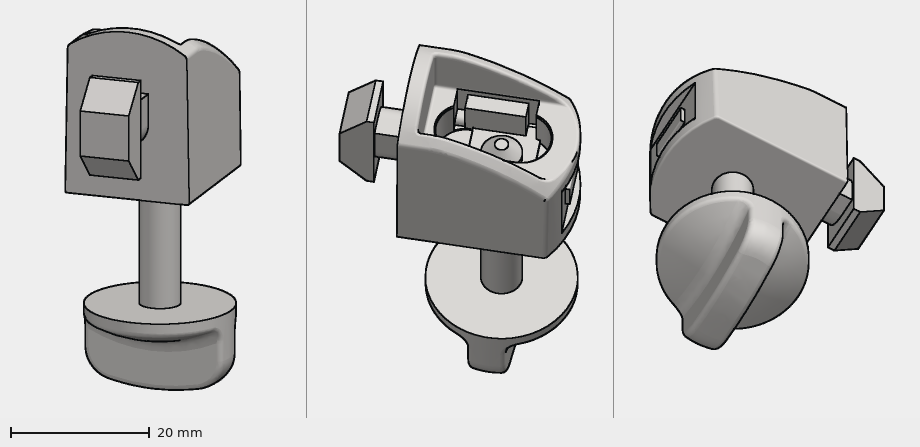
import cadquery as cq
import math


TOLERANCE = 0.05
OVERLAP = 0.55

HALF_WIDTH_BASE = 9.55
SIDE_DRAFT = 1.0
FRONT_Y = -13.65
BACK_Y = 11.3
BOW_RADIUS = 15.9
CROWN_TOP = 25.05
CROWN_FLAT_END = -9.1
SHOULDER_RADIUS = 11.35
SHOULDER_ANGLE = 16.0
SLOPE_RADIUS = 47.75
SLOPE_ANGLE = 27.0
CUTTER_HEIGHT = 17.05
OUTER_FILLET = 0.85
BASE_FILLET = 0.35

FLOOR_Z = 15.75
TRAY_HALF_WIDTH = 6.9
TRAY_FRONT_Y = -11.1
TRAY_CORNER_RADIUS = 0.5
CHEEK_FILLET = 0.5
FLOOR_FILLET = 0.45

SLOT_RADIUS = 4.3
SLOT_BACK_Y = 7.2
SLOT_FRONT_Y = -9.6
SLOT_FLOOR_Z = 9.65
SLOT_CHAMFER = 0.2
CHAMFER_ANGLE = 45.0

RECESS_X = -6.75
RECESS_FRONT_Y = -7.65
RECESS_BACK_Y = 4.3
TAB_EDGE_X = -4.3
TAB_FRONT_Y = -6.15
TAB_BACK_Y = 2.8
TAB_DROP = 0.85
GAP_FLOOR_Z = 9.95
STEP_EDGE_X = -4.6
STEP_HEIGHT = 1.0
STEP_ROUND = 0.95

WINDOW_Y = 9.95
WINDOW_BOTTOM = 2.6
WINDOW_TOP = 12.7
PAD_Y = 10.6
PAD_BOTTOM = 5.8
PAD_TOP = 9.5
PAD_WIDTH = 6.8
PAD_FILLET = 0.2

ANCHOR_Z = 12.05
STEM_WIDTH = 6.55
STEM_HEIGHT = 8.1
STEM_ROUND = 3.5
HEAD_WIDTH = 7.45
HEAD_HEIGHT = 14.65
HEAD_BACK_Y = -18.0
HEAD_TAPER_Y = -19.1
HEAD_TIP_Y = -23.05
HEAD_TIP_HEIGHT = 6.75

NUT_LENGTH = 12.05
NUT_WIDTH = 9.95
NUT_BOTTOM = 6.8
NUT_TOP = 10.2

SHAFT_DIAMETER = 6.0
TIP_DIAMETER = 2.0
TIP_TOP = 13.35
DISC_DIAMETER = 22.0
DISC_TOP = -19.3
DISC_EDGE_Z = -21.25
DOME_Z = -24.25
WING_THICKNESS = 5.55
WING_BOTTOM = -31.75
WING_CORNER_RADIUS = 4.8
WING_BOTTOM_RADIUS = 31.8
WING_TURN = -2.0
WING_ROOT_FILLET = 2.05
GRIP_FILLET = 0.85

shaft_radius = SHAFT_DIAMETER / 2
tip_radius = TIP_DIAMETER / 2
disc_radius = DISC_DIAMETER / 2


def box(x_range, y_range, z_range):
    """Axis-aligned block between pairs of coordinates."""
    size = [high - low for low, high in (x_range, y_range, z_range)]
    return (
        cq.Workplane("XY")
        .box(*size, centered=False)
        .translate((x_range[0], y_range[0], z_range[0]))
    )


def edges_in(solid, keep):
    """The edges of a solid whose bounding boxes pass a test."""
    return solid.newObject([edge for edge in solid.edges().vals() if keep(edge.BoundingBox())])


def bow_drop(half_width):
    """How far a bowed surface falls back at a distance from its middle."""
    return BOW_RADIUS - math.sqrt(BOW_RADIUS**2 - half_width**2)


def housing_blank():
    """Drafted sides, flat mounting face and bowed back wall."""
    half_top = HALF_WIDTH_BASE - CROWN_TOP * math.tan(math.radians(SIDE_DRAFT))
    side_y = BACK_Y - bow_drop(HALF_WIDTH_BASE)
    plan = (
        cq.Workplane("XY")
        .moveTo(-HALF_WIDTH_BASE, FRONT_Y)
        .lineTo(HALF_WIDTH_BASE, FRONT_Y)
        .lineTo(HALF_WIDTH_BASE, side_y)
        .threePointArc((0, BACK_Y), (-HALF_WIDTH_BASE, side_y))
        .close()
        .extrude(CROWN_TOP)
    )
    drafted = (
        cq.Workplane("XZ", origin=(0, BACK_Y, 0))
        .polyline([
            (-HALF_WIDTH_BASE, 0),
            (HALF_WIDTH_BASE, 0),
            (half_top, CROWN_TOP),
            (-half_top, CROWN_TOP),
        ])
        .close()
        .extrude(BACK_Y - FRONT_Y)
    )
    blank = plan.intersect(drafted)
    back_corners = edges_in(blank, lambda b: b.zlen > CROWN_TOP / 2 and b.ymin > FRONT_Y + TOLERANCE)
    return back_corners.fillet(OUTER_FILLET)


def crown_cutter():
    """Space above the crown: its bowed section swept back along the level top and down the slope."""
    shoulder = math.radians(SHOULDER_ANGLE)

    def shoulder_point(angle):
        return (
            CROWN_FLAT_END + SHOULDER_RADIUS * math.sin(angle),
            CROWN_TOP - SHOULDER_RADIUS * (1 - math.cos(angle)),
        )

    end_y, end_z = shoulder_point(shoulder)

    def slope_point(turn):
        angle = shoulder + math.radians(turn)
        return (
            end_y + SLOPE_RADIUS * (math.sin(angle) - math.sin(shoulder)),
            end_z - SLOPE_RADIUS * (math.cos(shoulder) - math.cos(angle)),
        )

    path = (
        cq.Workplane("YZ")
        .moveTo(FRONT_Y, CROWN_TOP)
        .lineTo(CROWN_FLAT_END, CROWN_TOP)
        .threePointArc(shoulder_point(shoulder / 2), (end_y, end_z))
        .threePointArc(slope_point(SLOPE_ANGLE / 2), slope_point(SLOPE_ANGLE))
    )
    half = HALF_WIDTH_BASE + OVERLAP
    edge_z = CROWN_TOP - bow_drop(half)
    return (
        cq.Workplane("XZ", origin=(0, FRONT_Y, 0))
        .moveTo(-half, edge_z)
        .threePointArc((0, CROWN_TOP), (half, edge_z))
        .lineTo(half, CROWN_TOP + CUTTER_HEIGHT)
        .lineTo(-half, CROWN_TOP + CUTTER_HEIGHT)
        .close()
        .sweep(path)
    )


def tray():
    """Space between the cheeks, open to the back."""
    space = box(
        (-TRAY_HALF_WIDTH, TRAY_HALF_WIDTH), (TRAY_FRONT_Y, BACK_Y + OVERLAP), (FLOOR_Z, CROWN_TOP + OVERLAP)
    )
    space = space.edges("|Z and <Y").fillet(TRAY_CORNER_RADIUS)
    return space.faces("<Z").edges("not >Y").fillet(FLOOR_FILLET)


def block():
    """Crowned block with its rim and its lower side and back edges rounded."""
    sharp = housing_blank().cut(crown_cutter())
    rounded = edges_in(
        sharp,
        lambda b: b.zmin > WINDOW_TOP and b.ymax > FRONT_Y + TOLERANCE,
    ).fillet(OUTER_FILLET)
    return edges_in(
        rounded, lambda b: b.zmax < BASE_FILLET / 2 and b.ymax > FRONT_Y + TOLERANCE
    ).fillet(BASE_FILLET)


def cheek_tops(solid):
    """Upper edges of the tray along both cheeks and the front lip."""
    reach_x = TRAY_HALF_WIDTH + TOLERANCE
    side_reach_y = TRAY_FRONT_Y - TOLERANCE
    return edges_in(
        solid,
        lambda b: b.zmin > FLOOR_Z + FLOOR_FILLET - TOLERANCE
        and b.zmax > FLOOR_Z + 2 * FLOOR_FILLET
        and b.ymin > side_reach_y
        and -reach_x < b.xmin
        and b.xmax < reach_x
        and max(b.xlen, b.ylen) > TOLERANCE,
    )


def slot():
    """Obround slot down from the tray floor, with a chamfered rim."""
    length = SLOT_BACK_Y - SLOT_FRONT_Y
    middle = (SLOT_BACK_Y + SLOT_FRONT_Y) / 2
    shaft = (
        cq.Workplane("XY", origin=(0, middle, SLOT_FLOOR_Z))
        .slot2D(length, 2 * SLOT_RADIUS, 90)
        .extrude(FLOOR_Z - SLOT_FLOOR_Z)
    )
    flare = (
        cq.Workplane("XY", origin=(0, middle, FLOOR_Z))
        .slot2D(length + 2 * SLOT_CHAMFER, 2 * (SLOT_RADIUS + SLOT_CHAMFER), 90)
        .extrude(-SLOT_CHAMFER, taper=CHAMFER_ANGLE)
    )
    return shaft.union(flare)


def side_recess():
    """Recess beside the slot, leaving a tab between two gaps and a rounded step in the front gap."""
    recess = box((RECESS_X, 0), (RECESS_FRONT_Y, RECESS_BACK_Y), (GAP_FLOOR_Z, FLOOR_Z + FLOOR_FILLET))
    tab = box((RECESS_X, TAB_EDGE_X), (TAB_FRONT_Y, TAB_BACK_Y), (GAP_FLOOR_Z, FLOOR_Z - TAB_DROP))
    step = box(
        (RECESS_X, STEP_EDGE_X), (RECESS_FRONT_Y, TAB_FRONT_Y), (GAP_FLOOR_Z, GAP_FLOOR_Z + STEP_HEIGHT)
    )
    step = step.edges("|Y and >X and >Z").fillet(STEP_ROUND)
    return recess.cut(tab).cut(step)


def back_pad():
    """Raised pad inside the window of the back wall."""
    half = PAD_WIDTH / 2
    pad = box((-half, half), (WINDOW_Y - OVERLAP, PAD_Y), (PAD_BOTTOM, PAD_TOP))
    return pad.edges("|X and >Y").fillet(PAD_FILLET)


def anchor():
    """Quarter-turn anchor: a stem with two opposite rounded corners and a tapered head."""
    stem = (
        cq.Workplane("XZ", origin=(0, FRONT_Y + OVERLAP, ANCHOR_Z))
        .rect(STEM_WIDTH, STEM_HEIGHT)
        .extrude(FRONT_Y + OVERLAP - HEAD_BACK_Y)
    )
    left_top = stem.edges("|Y and <X").edges(">Z")
    stem = left_top.fillet(STEM_ROUND)
    right_bottom = stem.edges("|Y and >X").edges("<Z")
    stem = right_bottom.fillet(STEM_ROUND)
    half = HEAD_HEIGHT / 2
    half_tip = HEAD_TIP_HEIGHT / 2
    head = (
        cq.Workplane("YZ", origin=(-HEAD_WIDTH / 2, 0, ANCHOR_Z))
        .polyline([
            (HEAD_BACK_Y, half),
            (HEAD_TAPER_Y, half),
            (HEAD_TIP_Y, half_tip),
            (HEAD_TIP_Y, -half_tip),
            (HEAD_TAPER_Y, -half),
            (HEAD_BACK_Y, -half),
        ])
        .close()
        .extrude(HEAD_WIDTH)
    )
    return stem.union(head)


def nut_block():
    """Plain block that fills the nut seat."""
    half_length = NUT_LENGTH / 2
    half_width = NUT_WIDTH / 2
    return box((-half_length, half_length), (-half_width, half_width), (NUT_BOTTOM, NUT_TOP))


def screw_bore():
    """Cylinder of the screw shaft through the housing and nut."""
    return cq.Workplane("XY").circle(shaft_radius).extrude(NUT_TOP)


def make_housing():
    """Housing with its tray, slot, nut seat, screw bore and anchor."""
    body = block().cut(tray())
    body = cheek_tops(body).fillet(CHEEK_FILLET)
    window = box(
        (-HALF_WIDTH_BASE, HALF_WIDTH_BASE), (WINDOW_Y, BACK_Y + OVERLAP), (WINDOW_BOTTOM, WINDOW_TOP)
    )
    body = body.cut(window).union(back_pad())
    body = body.cut(slot()).cut(side_recess()).cut(nut_block()).cut(screw_bore())
    return body.union(anchor())


def make_nut():
    """Nut block with the bore for the screw."""
    return nut_block().cut(screw_bore())


def grip_envelope():
    """Disc cylinder with the rounded end of the thumb wing, as a body of revolution."""
    corner_x = disc_radius - WING_CORNER_RADIUS
    lean = math.asin(corner_x / (WING_BOTTOM_RADIUS - WING_CORNER_RADIUS))
    bottom_center_z = WING_BOTTOM + WING_BOTTOM_RADIUS
    corner_z = bottom_center_z - (WING_BOTTOM_RADIUS - WING_CORNER_RADIUS) * math.cos(lean)
    join_x = WING_BOTTOM_RADIUS * math.sin(lean)
    join_z = bottom_center_z - WING_BOTTOM_RADIUS * math.cos(lean)
    bottom_mid_x = WING_BOTTOM_RADIUS * math.sin(lean / 2)
    bottom_mid_z = bottom_center_z - WING_BOTTOM_RADIUS * math.cos(lean / 2)
    middle = (math.pi / 2 + lean) / 2
    middle_x = corner_x + WING_CORNER_RADIUS * math.sin(middle)
    middle_z = corner_z - WING_CORNER_RADIUS * math.cos(middle)
    return (
        cq.Workplane("XZ")
        .moveTo(0, DISC_TOP)
        .lineTo(disc_radius, DISC_TOP)
        .lineTo(disc_radius, corner_z)
        .threePointArc((middle_x, middle_z), (join_x, join_z))
        .threePointArc((bottom_mid_x, bottom_mid_z), (0, WING_BOTTOM))
        .close()
        .revolve(360, (0, 0, 0), (0, 1, 0))
    )


def domed_wing():
    """Oversized spherical dome with the wing slab filleted to its underside."""
    rise = DISC_EDGE_Z - DOME_Z
    dome_radius = (disc_radius**2 + rise**2) / (2 * rise)
    below_disc = box(
        (-DISC_DIAMETER, DISC_DIAMETER), (-DISC_DIAMETER, DISC_DIAMETER), (WING_BOTTOM, DISC_TOP)
    )
    dome = (
        cq.Workplane("XY")
        .sphere(dome_radius)
        .translate((0, 0, DOME_Z + dome_radius))
        .intersect(below_disc)
    )
    half = WING_THICKNESS / 2
    slab = box((-DISC_DIAMETER, DISC_DIAMETER), (-half, half), (WING_BOTTOM, DISC_TOP))
    root = edges_in(
        dome.union(slab),
        lambda b: DOME_Z - TOLERANCE < b.zmin < DISC_EDGE_Z and b.ylen < TOLERANCE,
    )
    return root.fillet(WING_ROOT_FILLET)


def make_screw():
    """Cone-tipped shaft in one piece with the slightly turned disc and thumb wing."""
    grip = domed_wing().intersect(grip_envelope())
    rim = edges_in(
        grip,
        lambda b: b.zmax < DISC_TOP - TOLERANCE
        and b.ymin * b.ymax > TOLERANCE
        and not (b.ylen < TOLERANCE and b.xlen > disc_radius and b.zmin > DOME_Z - WING_ROOT_FILLET),
    )
    grip = rim.fillet(GRIP_FILLET).rotate((0, 0, 0), (0, 0, 1), WING_TURN)
    shaft = (
        cq.Workplane("XZ")
        .polyline([
            (0, DISC_TOP),
            (shaft_radius, DISC_TOP),
            (shaft_radius, TIP_TOP - (shaft_radius - tip_radius)),
            (tip_radius, TIP_TOP),
            (0, TIP_TOP),
        ])
        .close()
        .revolve(360, (0, 0, 0), (0, 1, 0))
    )
    return grip.union(shaft)


housing = make_housing()
nut = make_nut()
screw = make_screw()
result = cq.Compound.makeCompound([housing.val(), nut.val(), screw.val()])